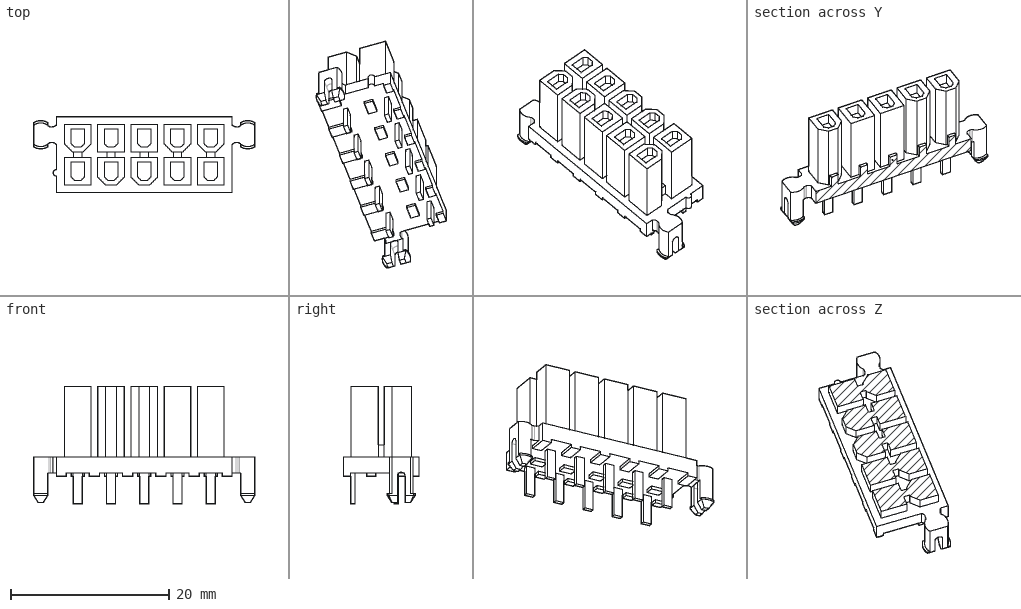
import cadquery as cq
import math


OVERALL_LENGTH = 28.0
OVERALL_HEIGHT = 14.85
PLATE_LENGTH = 22.2
PLATE_WIDTH = 9.6
PLATE_BOTTOM = -2.05
KEY_RADIUS = 0.42
KEY_Y = -2.3

COLUMNS = 5
PITCH = 4.2
ROW_Y = PITCH / 2
COLUMN_X = [(i - (COLUMNS - 1) / 2) * PITCH for i in range(COLUMNS)]
TOWER_LENGTH = 3.4
TOWER_WIDTH = 3.47
TOWER_HEIGHT = 8.9
TOWER_CHAMFER = 1.0
REAR_CUT_COLUMNS = (0, 3, 4)
FRONT_CUT_COLUMNS = (1, 2)
CAVITY_LENGTH = 1.7
CAVITY_WIDTH = 2.3
CAVITY_CHAMFER = 0.45
CAVITY_DEPTH = 1.4
RIB_THICKNESS = 1.05
RIB_HEIGHT = 1.5

PIN_LENGTH = 1.18
PIN_WIDTH = 0.55
PIN_BOTTOM = TOWER_HEIGHT - OVERALL_HEIGHT
FRONT_PIN_Y = -3.58
REAR_PIN_Y = 1.88

PAD_HEIGHT = 0.42
PAD_BOTTOM = PLATE_BOTTOM - PAD_HEIGHT
PAD_GAP = 2.88
CENTRE_PAD_LENGTH = 1.68
CENTRE_PAD_WIDTH = 1.15
CENTRE_PAD_Y = -1.25

PEG_Y = 2.52
PEG_THICKNESS = 1.82
PEG_X = (OVERALL_LENGTH - PEG_THICKNESS) / 2
PEG_DIAMETER = 3.0
PEG_RADIUS = PEG_DIAMETER / 2
PEG_BOTTOM = -5.77
NECK_WIDTH = 2.02
NECK_BLEND_RADIUS = 0.28
NECK_FLARE_LENGTH = 0.5
NECK_FLARE_RISE = 0.3
BARB_RADIUS = 1.8
BARB_TOP = -4.65
BARB_TAPER_TOP = -4.87
BARB_INSET = 0.6
SLOT_WIDTH = 0.98
SLOT_TOP = -1.93


def block(length, width, z_low, z_high, x=0.0, y=0.0):
    """Box centred on (x, y) that spans the given heights."""
    box = cq.Workplane("XY").box(length, width, z_high - z_low, centered=(True, True, False))
    return box.translate((x, y, z_low))


def cut_front_corners(body, chamfer):
    """Cut the two upright edges on the -Y side at 45 degrees."""
    return body.edges("|Z and <Y").chamfer(chamfer)


def tower(x, y, has_cut_corners):
    body = block(TOWER_LENGTH, TOWER_WIDTH, 0, TOWER_HEIGHT, x, y)
    if has_cut_corners:
        body = cut_front_corners(body, TOWER_CHAMFER)
    cavity_floor = TOWER_HEIGHT - CAVITY_DEPTH
    cavity = block(CAVITY_LENGTH, CAVITY_WIDTH, cavity_floor, TOWER_HEIGHT, x, y)
    return body.cut(cut_front_corners(cavity, CAVITY_CHAMFER))


def base_plate():
    """Plate with a half-round key on its -X end."""
    plate = block(PLATE_LENGTH, PLATE_WIDTH, PLATE_BOTTOM, 0)
    key = cq.Workplane("XY").center(-PLATE_LENGTH / 2, KEY_Y).circle(KEY_RADIUS).extrude(PLATE_BOTTOM)
    return plate.union(key)


def edge_pads(inner_y, outer_y):
    """Row of pads along one long edge, interrupted at every pin."""
    width = abs(outer_y - inner_y)
    centre_y = (inner_y + outer_y) / 2
    pads = block(PLATE_LENGTH, width, PAD_BOTTOM, PLATE_BOTTOM, 0, centre_y)
    for x in COLUMN_X:
        pads = pads.cut(block(PAD_GAP, width, PAD_BOTTOM, PLATE_BOTTOM, x, centre_y))
    return pads


def peg_outline(radius, z):
    """Disc outline with its two X sides cut flat, drawn at height z around the peg axis."""
    half_thickness = PEG_THICKNESS / 2
    flat_end = math.sqrt(radius**2 - half_thickness**2)
    return (
        cq.Workplane("XY", origin=(PEG_X, PEG_Y, z))
        .moveTo(-half_thickness, -flat_end)
        .threePointArc((0, -radius), (half_thickness, -flat_end))
        .lineTo(half_thickness, flat_end)
        .threePointArc((0, radius), (-half_thickness, flat_end))
        .close()
    )


def neck():
    """Web from the plate to the peg axis, blended into the peg and flared by an arc at the plate."""
    plate_end = PLATE_LENGTH / 2
    head = cq.Workplane("XY").center(PEG_X, PEG_Y).circle(PEG_RADIUS).extrude(PLATE_BOTTOM)
    web = block(PEG_X - plate_end, NECK_WIDTH, PLATE_BOTTOM, 0, (PEG_X + plate_end) / 2, PEG_Y)
    head_to_web = cq.selectors.BoxSelector(
        (plate_end + NECK_FLARE_LENGTH, PEG_Y - PEG_RADIUS, PLATE_BOTTOM),
        (PEG_X, PEG_Y + PEG_RADIUS, 0),
    )
    blended = head.union(web).edges("|Z").edges(head_to_web).fillet(NECK_BLEND_RADIUS)
    trim_length = PEG_X - plate_end
    trim = block(trim_length, 2 * PEG_RADIUS, PLATE_BOTTOM, 0, plate_end + trim_length / 2, PEG_Y)

    flare_radius = (NECK_FLARE_LENGTH**2 + NECK_FLARE_RISE**2) / (2 * NECK_FLARE_RISE)
    flare_width = NECK_WIDTH + 2 * NECK_FLARE_RISE
    flare_centre_x = plate_end + NECK_FLARE_LENGTH / 2
    flare = block(NECK_FLARE_LENGTH, flare_width, PLATE_BOTTOM, 0, flare_centre_x, PEG_Y)
    arc_x = plate_end + NECK_FLARE_LENGTH
    for side in (-1, 1):
        arc_y = PEG_Y + side * (NECK_WIDTH / 2 + flare_radius)
        flare = flare.cut(cq.Workplane("XY").center(arc_x, arc_y).circle(flare_radius).extrude(PLATE_BOTTOM))
    return blended.intersect(trim).union(flare)


def peg():
    """Split snap peg beyond the +X end of the plate."""
    body = peg_outline(PEG_RADIUS, 0).extrude(BARB_TOP)
    barb = peg_outline(BARB_RADIUS, BARB_TOP).extrude(BARB_TAPER_TOP - BARB_TOP)
    tip_height = BARB_TAPER_TOP - PEG_BOTTOM
    tip_taper = math.degrees(math.atan(BARB_INSET / tip_height))
    tip = peg_outline(BARB_RADIUS, BARB_TAPER_TOP).extrude(-tip_height, taper=tip_taper)
    slot_round_z = SLOT_TOP - SLOT_WIDTH / 2
    slot = block(PEG_THICKNESS, SLOT_WIDTH, PEG_BOTTOM, slot_round_z, PEG_X, PEG_Y)
    slot_round = (
        cq.Workplane("YZ", origin=(PEG_X, PEG_Y, slot_round_z))
        .circle(SLOT_WIDTH / 2)
        .extrude(PEG_THICKNESS / 2, both=True)
    )
    return body.union(barb).union(tip).union(neck()).cut(slot).cut(slot_round)


result = base_plate()

for column, x in enumerate(COLUMN_X):
    result = result.union(tower(x, ROW_Y, column in REAR_CUT_COLUMNS))
    result = result.union(tower(x, -ROW_Y, column in FRONT_CUT_COLUMNS))
    result = result.union(block(RIB_THICKNESS, PITCH - TOWER_WIDTH, 0, RIB_HEIGHT, x))
    for pin_y in (FRONT_PIN_Y, REAR_PIN_Y):
        result = result.union(block(PIN_LENGTH, PIN_WIDTH, PIN_BOTTOM, PLATE_BOTTOM, x, pin_y))
    result = result.union(
        block(CENTRE_PAD_LENGTH, CENTRE_PAD_WIDTH, PAD_BOTTOM, PLATE_BOTTOM, x, CENTRE_PAD_Y)
    )

result = result.union(edge_pads(FRONT_PIN_Y - PIN_WIDTH / 2, -PLATE_WIDTH / 2))
result = result.union(edge_pads(REAR_PIN_Y + PIN_WIDTH / 2, PLATE_WIDTH / 2))

right_peg = peg()
result = result.union(right_peg).union(right_peg.mirror("YZ"))